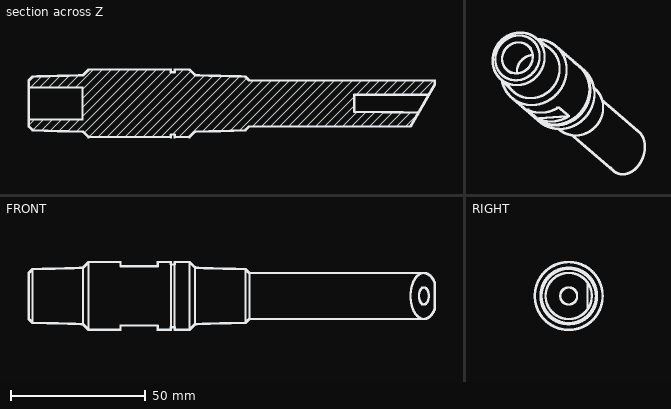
import cadquery as cq
import math

TUBE_DIAMETER = 17.25

BODY_LENGTH = 82.3
BODY_DIAMETER = 25.4
END_CHAMFER = 1.5
NECK_END_DIAMETER = TUBE_DIAMETER + 2 * END_CHAMFER
NECK_ROOT_DIAMETER = 21.15
BARREL_START = 20.2
BARREL_END = 62.1
BARREL_CHAMFER = (BODY_DIAMETER - NECK_ROOT_DIAMETER) / 2

GROOVE_START = 53.0
GROOVE_WIDTH = 1.4
GROOVE_DIAMETER = 23.5

FLAT_START = 34.3
FLAT_LENGTH = 13.8
ACROSS_FLATS = 22.2

TOTAL_LENGTH = 151.49
CUT_ANGLE = 30.0
TIP_FLAT_HALF_HEIGHT = 5.0

BODY_BORE_DIAMETER = 11.91
BODY_BORE_DEPTH = 20.0
TUBE_BORE_DIAMETER = 6.35
TUBE_BORE_DEPTH = 30.0


def x_cylinder(diameter, start, end):
    """Round bar along the X axis between two stations."""
    return cq.Workplane("YZ", origin=(start, 0, 0)).circle(diameter / 2).extrude(end - start)


def make_body():
    """Turned handle: tapered necks on both sides of a chamfered barrel."""
    barrel_radius = BODY_DIAMETER / 2
    neck_end_radius = NECK_END_DIAMETER / 2
    neck_root_radius = NECK_ROOT_DIAMETER / 2
    face_radius = TUBE_DIAMETER / 2
    profile = [
        (0, 0),
        (0, face_radius),
        (END_CHAMFER, neck_end_radius),
        (BARREL_START, neck_root_radius),
        (BARREL_START + BARREL_CHAMFER, barrel_radius),
        (BARREL_END - BARREL_CHAMFER, barrel_radius),
        (BARREL_END, neck_root_radius),
        (BODY_LENGTH - END_CHAMFER, neck_end_radius),
        (BODY_LENGTH, face_radius),
        (BODY_LENGTH, 0),
    ]
    return cq.Workplane("XY").polyline(profile).close().revolve(360, (0, 0, 0), (1, 0, 0))


def cut_groove(part):
    end = GROOVE_START + GROOVE_WIDTH
    ring = x_cylinder(2 * BODY_DIAMETER, GROOVE_START, end)
    ring = ring.cut(x_cylinder(GROOVE_DIAMETER, GROOVE_START, end))
    return part.cut(ring)


def cut_wrench_flats(part):
    middle = FLAT_START + FLAT_LENGTH / 2
    for side in (1, -1):
        cutter = cq.Workplane("XY").box(FLAT_LENGTH, BODY_DIAMETER, BODY_DIAMETER)
        offset = side * (ACROSS_FLATS + BODY_DIAMETER) / 2
        part = part.cut(cutter.translate((middle, 0, offset)))
    return part


def make_tube():
    """Solid tube whose far end is cut obliquely, longest on the +Y side."""
    radius = TUBE_DIAMETER / 2
    tip_y = math.sqrt(radius**2 - TIP_FLAT_HALF_HEIGHT**2)
    cut_start = TOTAL_LENGTH - (tip_y + radius) * math.tan(math.radians(CUT_ANGLE))
    outline = [
        (BODY_LENGTH, -radius),
        (cut_start, -radius),
        (TOTAL_LENGTH, tip_y),
        (TOTAL_LENGTH, radius),
        (BODY_LENGTH, radius),
    ]
    envelope = cq.Workplane("XY").polyline(outline).close().extrude(radius, both=True)
    return x_cylinder(TUBE_DIAMETER, BODY_LENGTH, TOTAL_LENGTH).intersect(envelope)


def cut_bores(part):
    part = part.cut(x_cylinder(BODY_BORE_DIAMETER, 0, BODY_BORE_DEPTH))
    return part.cut(x_cylinder(TUBE_BORE_DIAMETER, TOTAL_LENGTH - TUBE_BORE_DEPTH, TOTAL_LENGTH))


body = cut_wrench_flats(cut_groove(make_body()))
result = cut_bores(body.union(make_tube()))